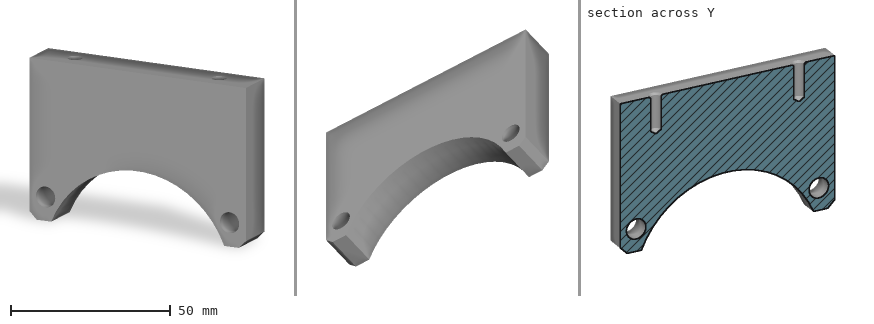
import cadquery as cq

WIDTH = 76.2
THICKNESS = 12.7
HEIGHT = 52.25
CORNER_CHAMFER = 2.5

ARCH_RADIUS = 33.02
ARCH_TOP = 20.32
ARCH_CENTER_Z = ARCH_TOP - ARCH_RADIUS

BOLT_DIAMETER = 6.75
BOLT_SPACING = 64.8
BOLT_Z = 7.8

TOP_HOLE_DIAMETER = 3.5
TOP_HOLE_SPACING = 50.8
TOP_HOLE_DEPTH = 12.0
COUNTERSINK_DIAMETER = 4.75
DRILL_POINT_DEPTH = 1.1
COUNTERSINK_DEPTH = (COUNTERSINK_DIAMETER - TOP_HOLE_DIAMETER) / 2


def block():
    """Plate centred on X and Y, standing on Z = 0, with its lower corners chamfered."""
    plate = cq.Workplane("XY").box(WIDTH, THICKNESS, HEIGHT, centered=(True, True, False))
    lower_corners = plate.faces("<Z").edges("|Y")
    return lower_corners.chamfer(CORNER_CHAMFER)


def cylinder_along_y(x, z, diameter):
    """Cylinder running through the full thickness of the plate."""
    return (
        cq.Workplane("XZ")
        .center(x, z)
        .circle(diameter / 2)
        .extrude(THICKNESS, both=True)
    )


def top_hole(x):
    """Countersunk drilled hole with a conical end, revolved about its own axis."""
    drill_radius = TOP_HOLE_DIAMETER / 2
    wall_end = HEIGHT - TOP_HOLE_DEPTH
    profile = (
        cq.Workplane("XZ")
        .moveTo(0, HEIGHT)
        .lineTo(COUNTERSINK_DIAMETER / 2, HEIGHT)
        .lineTo(drill_radius, HEIGHT - COUNTERSINK_DEPTH)
        .lineTo(drill_radius, wall_end)
        .lineTo(0, wall_end - DRILL_POINT_DEPTH)
        .close()
    )
    return profile.revolve(360, (0, 0, 0), (0, 1, 0)).translate((x, 0, 0))


result = block().cut(cylinder_along_y(0, ARCH_CENTER_Z, 2 * ARCH_RADIUS))
for side in (-1, 1):
    result = result.cut(cylinder_along_y(side * BOLT_SPACING / 2, BOLT_Z, BOLT_DIAMETER))
    result = result.cut(top_hole(side * TOP_HOLE_SPACING / 2))